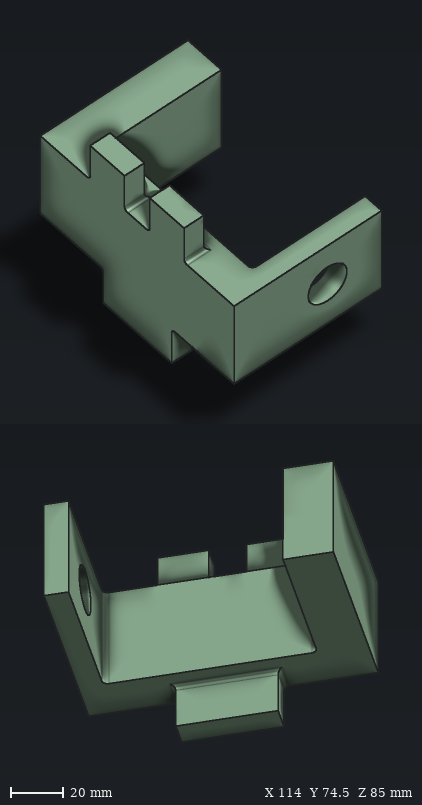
import cadquery as cq

length = 114.0
depth = 74.5
height = 85.0

left_wall = 19.8
right_wall = 9.8
web_thickness = 17.4
inner_radius = 2.3
tab_height = 19.8
body_bottom = tab_height
body_top = height - tab_height

tab_thickness = 10.0
upper_tab_width = 20.2
lower_tab_width = 2 * upper_tab_width
upper_tab_starts = (29.4, 64.4)
lower_tab_start = 37.0
tab_root_radius = 1.9

hole_diameter = 19.5
hole_y = 47.2
hole_z = 42.9

selection_margin = 0.1


def block(x, y, z, size_x, size_y, size_z):
    """Box placed by its lowest corner."""
    return cq.Workplane("XY").box(size_x, size_y, size_z, centered=False).translate((x, y, z))


def make_body():
    """Web with a rearward wall at each end and rounded inner corners."""
    body_height = body_top - body_bottom
    body = block(0, 0, body_bottom, length, depth, body_height)
    opening_width = length - left_wall - right_wall
    opening = block(left_wall, web_thickness, body_bottom, opening_width, depth, body_height)
    opening = opening.edges("|Z and <Y").fillet(inner_radius)
    return body.cut(opening)


def add_tab(part, x, z, width, root_z):
    """Join a tab to the web and round its side and rear roots."""
    part = part.union(block(x, 0, z, width, tab_thickness, tab_height))
    root_edges = cq.selectors.BoxSelector(
        (x - selection_margin, selection_margin, root_z - selection_margin),
        (x + width + selection_margin, tab_thickness + selection_margin, root_z + selection_margin),
    )
    return part.edges(root_edges).fillet(tab_root_radius)


result = make_body()
for tab_start in upper_tab_starts:
    result = add_tab(result, tab_start, body_top, upper_tab_width, body_top)
result = add_tab(result, lower_tab_start, 0, lower_tab_width, body_bottom)

hole = (
    cq.Workplane("YZ", origin=(length - right_wall, hole_y, hole_z))
    .circle(hole_diameter / 2)
    .extrude(right_wall)
)
result = result.cut(hole)